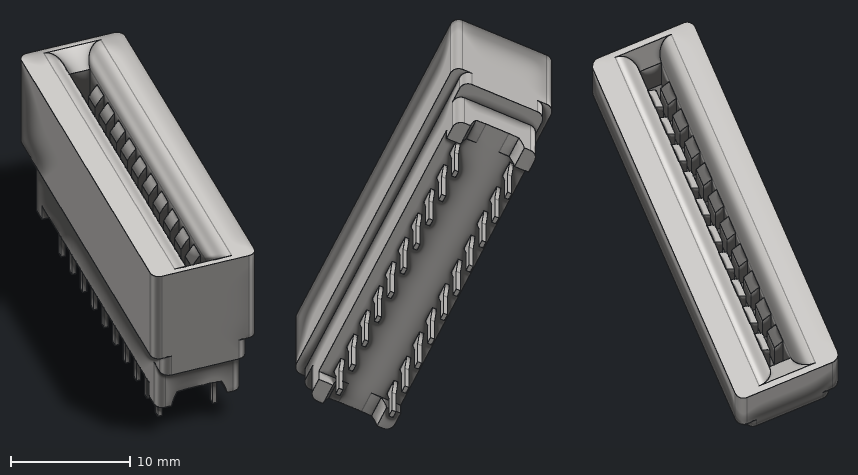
import cadquery as cq
import math

length = 32.0
upper_width = 9.35
lower_width = 7.6
base_length = 29.2
corner_radius = 0.77
upper_bottom = -8.85
middle_bottom = -10.88
base_bottom = -14.0
foot_bottom = -15.42
foot_length = 1.95

arch_flat_half = 1.05
arch_shoulder_half = 2.0
arch_foot_half = 2.5
arch_shoulder_drop = 0.05
arch_bulge = 0.05

mouth_length = 30.95
mouth_width = 5.12
slot_width = 2.0
slot_floor = upper_bottom
lead_in_radius = (mouth_width - slot_width) / 2
slot_length = mouth_length - 2 * lead_in_radius

pin_count = 10
row_length = 22.88
pitch = row_length / (pin_count - 1)
row_offset = 2.45
pin_width = 0.6
pin_root_width = 1.4
pin_thickness = 0.4
pin_neck = -15.5
pin_tip = -18.65
contact_width = 1.57
contact_gap = 0.4
contact_top = -1.95
contact_nose_drop = 1.1
contact_bulge = 0.03

pin_positions = [i * pitch - row_length / 2 for i in range(pin_count)]


def rounded_block(size_x, size_y, top, bottom):
    """Upright block with rounded vertical corners."""
    block = cq.Workplane("XY", origin=(0, 0, bottom)).rect(size_x, size_y).extrude(top - bottom)
    return block.edges("|Z").fillet(corner_radius)


def make_housing():
    """Wide upper body, narrower middle and shorter base ending in two feet."""
    upper = rounded_block(length, upper_width, 0, upper_bottom)
    middle = rounded_block(length, lower_width, 0, middle_bottom)
    base = rounded_block(base_length, lower_width, upper_bottom, foot_bottom)
    foot_height = base_bottom - foot_bottom
    foot_gap = cq.Workplane("XY", origin=(0, 0, base_bottom - foot_height / 2)).box(
        base_length - 2 * foot_length, lower_width, foot_height
    )
    return upper.union(middle).union(base.cut(foot_gap).cut(make_arch()))


def make_arch():
    """Arch running along X, with bowed sides and a nearly flat crown."""
    shoulder = base_bottom - arch_shoulder_drop
    bow_y = (arch_shoulder_half + arch_foot_half) / 2 + arch_bulge
    bow_z = (shoulder + foot_bottom) / 2
    return (
        cq.Workplane("YZ")
        .moveTo(-arch_foot_half, foot_bottom)
        .threePointArc((-bow_y, bow_z), (-arch_shoulder_half, shoulder))
        .lineTo(-arch_flat_half, base_bottom)
        .lineTo(arch_flat_half, base_bottom)
        .lineTo(arch_shoulder_half, shoulder)
        .threePointArc((bow_y, bow_z), (arch_foot_half, foot_bottom))
        .close()
        .extrude(base_length / 2, both=True)
    )


def make_slot():
    """Slot with rounded lead-ins along its sides and 45 degree slopes at its ends."""
    half_mouth = mouth_width / 2
    half_slot = slot_width / 2
    arc_y = half_mouth - lead_in_radius * math.sin(math.pi / 4)
    arc_z = -lead_in_radius * (1 - math.cos(math.pi / 4))
    trough = (
        cq.Workplane("YZ")
        .moveTo(-half_mouth, 0)
        .threePointArc((-arc_y, arc_z), (-half_slot, -lead_in_radius))
        .lineTo(-half_slot, slot_floor)
        .lineTo(half_slot, slot_floor)
        .lineTo(half_slot, -lead_in_radius)
        .threePointArc((arc_y, arc_z), (half_mouth, 0))
        .close()
        .extrude(mouth_length / 2, both=True)
    )
    side_outline = (
        cq.Workplane("XZ")
        .polyline([
            (-mouth_length / 2, 0),
            (-slot_length / 2, -lead_in_radius),
            (-slot_length / 2, slot_floor),
            (slot_length / 2, slot_floor),
            (slot_length / 2, -lead_in_radius),
            (mouth_length / 2, 0),
        ])
        .close()
        .extrude(mouth_width, both=True)
    )
    return trough.intersect(side_outline)


def make_contact(x):
    """Contact on the +Y slot wall, its top sloping down towards the gap."""
    half_slot = slot_width / 2
    half_gap = contact_gap / 2
    return (
        cq.Workplane("YZ", origin=(x, 0, 0))
        .moveTo(half_slot, slot_floor)
        .lineTo(half_slot, contact_top)
        .sagittaArc((half_gap, contact_top - contact_nose_drop), -contact_bulge)
        .lineTo(half_gap, slot_floor)
        .close()
        .extrude(contact_width / 2, both=True)
    )


def make_pin(x):
    """Solder pin in the +Y row, tapering from a wide root to a straight tail."""
    return (
        cq.Workplane("XZ", origin=(x, row_offset, 0))
        .polyline([
            (-pin_root_width / 2, base_bottom),
            (-pin_width / 2, pin_neck),
            (-pin_width / 2, pin_tip),
            (pin_width / 2, pin_tip),
            (pin_width / 2, pin_neck),
            (pin_root_width / 2, base_bottom),
        ])
        .close()
        .extrude(pin_thickness / 2, both=True)
    )


result = make_housing().cut(make_slot())
for x in pin_positions:
    for feature in (make_contact(x), make_pin(x)):
        result = result.union(feature).union(feature.mirror("XZ"))